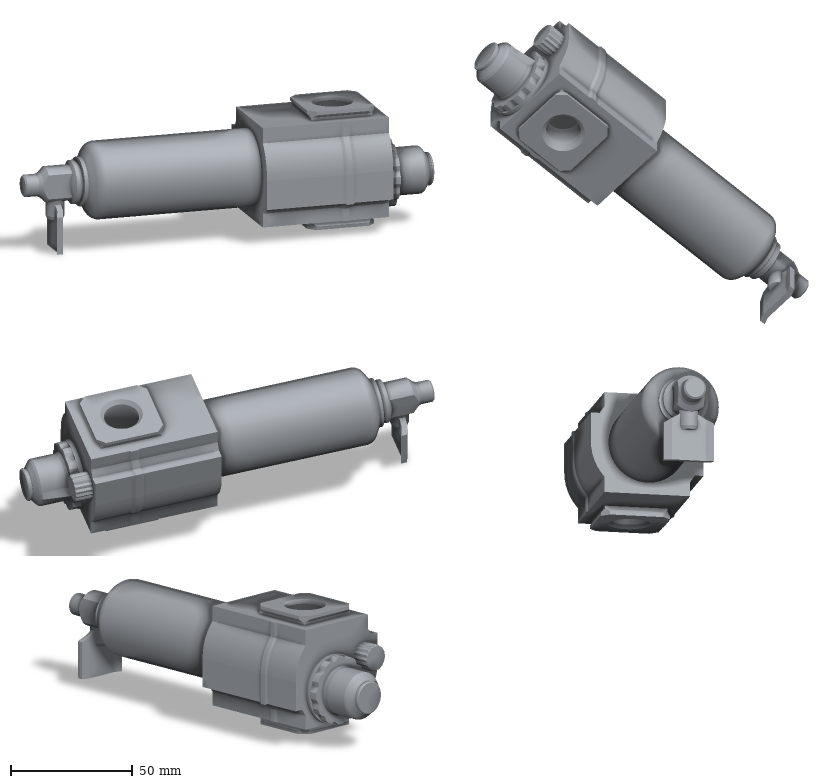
import cadquery as cq
import math


HOUSING_REAR_Y = 18.8
HOUSING_FRONT_Y = -35.8
HOUSING_HALF_HEIGHT = 21.2
SIDE_X = 18.0
CHEEK_X = 23.7
CHEEK_STEP_Z = 12.3
STEP_SLOPE_WIDTH = 2.0
STEP_SLOPE_HEIGHT = 3.0
CHEEK_ARC_RADIUS = 21.8

BAND_RISE = 0.5
BAND_FOOT_HALF_WIDTH = 2.4
BAND_TOP_HALF_WIDTH = 1.15

PORT_FACE_Z = 25.2
PAD_WIDTH = 29.0
PAD_THICKNESS = 2.75
PAD_CORNER_CUT = 3.25
PAD_UNDERCUT = 1.3
PORT_DIAMETER = 14.5
PORT_MOUTH_DIAMETER = 17.6
PORT_DEPTH = 15.0

BOWL_RADIUS = 16.3
BOWL_SHOULDER_Y = -102.3
BOWL_ARC_END_RADIUS = 13.7
BOWL_ARC_END_Y = -106.5
BOWL_RIM_RADIUS = 10.3
BOWL_RIM_Y = -108.6
BOWL_END_Y = -110.2

COLLAR_ROOT_RADIUS = 7.9
COLLAR_RADIUS = 9.15
COLLAR_START_Y = -111.8
COLLAR_END_Y = -113.3
COLLAR_TAPER_END_Y = -115.1
VALVE_RADIUS = 7.5
VALVE_FLATS_WIDTH = 11.0
VALVE_CHAMFER_Y = -124.4
VALVE_CHAMFER_END_Y = -126.5
VALVE_CHAMFER_END_RADIUS = 5.5
TIP_RADIUS = 4.65
TIP_START_Y = -128.1
TIP_END_Y = -133.95
TIP_CHAMFER = 0.7

OUTLET_Y = -119.95
OUTLET_RADIUS = 3.95
OUTLET_END_Z = -14.75
OUTLET_CHAMFER_RADIAL = 0.6
OUTLET_CHAMFER_HEIGHT = 1.5
WING_BOTTOM_Z = -27.63
WING_HALF_WIDTH = 10.3
WING_FLAT_HALF_WIDTH = 7.1
WING_THICKNESS = 2.5
WING_TIP_OFFSET = 1.2
WING_TIP_TOP_Z = -11.8
WING_ROOT_TOP_Z = -8.1

KNOB_X = 3.0
KNOB_Z = -6.2
KNOB_BASE_RADIUS = 14.6
KNOB_RING_RADIUS = 14.3
KNOB_RING_START_Y = 20.7
KNOB_RING_END_Y = 24.2
KNOB_FOOT_RADIUS = 10.5
KNOB_FOOT_END_Y = 25.5
KNOB_RADIUS = 10.0
KNOB_SHOULDER_Y = 36.4
KNOB_CONE_RADIUS = 9.4
KNOB_CONE_Y = 37.3
KNOB_NECK_RADIUS = 6.6
KNOB_NECK_START_Y = 39.3
KNOB_NECK_END_Y = 40.2
KNOB_CAP_RADIUS = 6.9
KNOB_END_Y = 41.15
KNOB_CAP_CHAMFER = 0.4

NOTCH_COUNT = 12
NOTCH_HALF_WIDTH = 2.7
NOTCH_FLOOR_HALF_WIDTH = 0.3
NOTCH_FLOOR_RADIUS = 13.3

POINTER_HALF_WIDTH = 2.9
POINTER_ROOT = 9.55
POINTER_RIDGE_LOW = 12.2
POINTER_RIDGE_HIGH = 10.7

SCREW_X = -15.4
SCREW_Z = 4.4
SCREW_RADIUS = 5.6
SCREW_END_Y = 26.2
SCREW_CHAMFER = 0.4
KNURL_COUNT = 16
KNURL_DEPTH = 0.5


def plane_at(y):
    """Plane across the part at a Y station, with local axes along +X and +Z."""
    return cq.Plane(origin=(0, y, 0), xDir=(1, 0, 0), normal=(0, -1, 0))


def revolve_profile(profile):
    """Turn a profile of (radius, Y) about the Y axis."""
    return profile.close().revolve(360, (0, 0, 0), (0, 1, 0))


def housing_outline(y, rise):
    """Outline of the housing across Y, with its sides moved outward by rise."""
    side = SIDE_X + rise
    cheek = CHEEK_X + rise
    step = CHEEK_STEP_Z + rise
    top = HOUSING_HALF_HEIGHT
    arc_radius = CHEEK_ARC_RADIUS + rise
    arc_center_x = CHEEK_X - CHEEK_ARC_RADIUS
    arc_end_angle = math.acos((side - arc_center_x) / arc_radius)
    arc_mid = (
        arc_center_x + arc_radius * math.cos(arc_end_angle / 2),
        arc_radius * math.sin(arc_end_angle / 2),
    )
    arc_end_z = arc_radius * math.sin(arc_end_angle)
    return (
        cq.Workplane(plane_at(y))
        .moveTo(-side, top)
        .lineTo(side, top)
        .lineTo(side, arc_end_z)
        .threePointArc(arc_mid, (cheek, 0))
        .lineTo(cheek, -step)
        .lineTo(side + STEP_SLOPE_WIDTH, -step)
        .lineTo(side, -step - STEP_SLOPE_HEIGHT)
        .lineTo(side, -top)
        .lineTo(-side, -top)
        .lineTo(-side, -arc_end_z)
        .threePointArc((-arc_mid[0], -arc_mid[1]), (-cheek, 0))
        .lineTo(-cheek, step)
        .lineTo(-side - STEP_SLOPE_WIDTH, step)
        .lineTo(-side, step + STEP_SLOPE_HEIGHT)
        .close()
    )


def make_band_bevel(y_foot, y_top):
    """Sloping flank of the band, from the housing side up to the band top."""
    foot = housing_outline(y_foot, 0).val()
    crest = housing_outline(y_top, BAND_RISE).val()
    return cq.Workplane(cq.Solid.makeLoft([foot, crest], True))


def make_port_pad():
    """Square pad with cut corners and a bevelled underside, on a square neck."""
    neck_width = PAD_WIDTH - 2 * PAD_UNDERCUT
    pad_bottom_z = PORT_FACE_Z - PAD_THICKNESS
    neck = (
        cq.Workplane("XY", origin=(0, 0, HOUSING_HALF_HEIGHT))
        .rect(neck_width, neck_width)
        .extrude(pad_bottom_z - HOUSING_HALF_HEIGHT)
    )
    cut_corners = (
        cq.Workplane("XY", origin=(0, 0, pad_bottom_z))
        .rect(PAD_WIDTH, PAD_WIDTH)
        .extrude(PAD_THICKNESS)
        .edges("|Z")
        .chamfer(PAD_CORNER_CUT)
    )
    pad = (
        cq.Workplane("XY", origin=(0, 0, pad_bottom_z))
        .rect(PAD_WIDTH, PAD_WIDTH)
        .extrude(PAD_THICKNESS)
        .faces("<Z")
        .edges()
        .chamfer(PAD_UNDERCUT)
        .intersect(cut_corners)
    )
    return neck.union(pad)


def make_port_cut():
    """Blind port with a countersunk mouth."""
    depth_z = PORT_FACE_Z - PORT_DEPTH
    mouth_depth = (PORT_MOUTH_DIAMETER - PORT_DIAMETER) / 2
    profile = [
        (0, PORT_FACE_Z),
        (PORT_MOUTH_DIAMETER / 2, PORT_FACE_Z),
        (PORT_DIAMETER / 2, PORT_FACE_Z - mouth_depth),
        (PORT_DIAMETER / 2, depth_z),
        (0, depth_z),
    ]
    return cq.Workplane("XZ").polyline(profile).close().revolve(360, (0, 0, 0), (0, 1, 0))


def make_housing():
    body = housing_outline(HOUSING_REAR_Y, 0).extrude(HOUSING_REAR_Y - HOUSING_FRONT_Y)
    band = housing_outline(BAND_TOP_HALF_WIDTH, BAND_RISE).extrude(2 * BAND_TOP_HALF_WIDTH)
    body = body.union(band)
    for end in (1, -1):
        body = body.union(make_band_bevel(end * BAND_FOOT_HALF_WIDTH, end * BAND_TOP_HALF_WIDTH))
    pad = make_port_pad()
    port = make_port_cut()
    for turn in (0, 180):
        body = body.union(pad.rotate((0, 0, 0), (0, 1, 0), turn))
    for turn in (0, 180):
        body = body.cut(port.rotate((0, 0, 0), (0, 1, 0), turn))
    return body


def make_bowl():
    """Cylindrical bowl with a rounded, tapering end and a narrow rim."""
    profile = (
        cq.Workplane("XY")
        .moveTo(0, HOUSING_FRONT_Y)
        .lineTo(BOWL_RADIUS, HOUSING_FRONT_Y)
        .lineTo(BOWL_RADIUS, BOWL_SHOULDER_Y)
        .tangentArcPoint((BOWL_ARC_END_RADIUS, BOWL_ARC_END_Y), relative=False)
        .lineTo(BOWL_RIM_RADIUS, BOWL_RIM_Y)
        .lineTo(BOWL_RIM_RADIUS, BOWL_END_Y)
        .lineTo(0, BOWL_END_Y)
    )
    return revolve_profile(profile)


def make_valve_stem():
    """Collar, flatted barrel and round tip of the drain valve."""
    half_flats = VALVE_FLATS_WIDTH / 2
    collar = revolve_profile(
        cq.Workplane("XY").polyline([
            (0, BOWL_END_Y),
            (COLLAR_ROOT_RADIUS, BOWL_END_Y),
            (COLLAR_RADIUS, COLLAR_START_Y),
            (COLLAR_RADIUS, COLLAR_END_Y),
            (half_flats, COLLAR_TAPER_END_Y),
            (0, COLLAR_TAPER_END_Y),
        ])
    )
    barrel = revolve_profile(
        cq.Workplane("XY").polyline([
            (0, COLLAR_END_Y),
            (VALVE_RADIUS, COLLAR_END_Y),
            (VALVE_RADIUS, VALVE_CHAMFER_Y),
            (VALVE_CHAMFER_END_RADIUS, VALVE_CHAMFER_END_Y),
            (0, VALVE_CHAMFER_END_Y),
        ])
    )
    flats = (
        cq.Workplane(plane_at(COLLAR_END_Y))
        .rect(VALVE_FLATS_WIDTH, 2 * VALVE_RADIUS)
        .extrude(COLLAR_END_Y - VALVE_CHAMFER_END_Y)
    )
    tip = revolve_profile(
        cq.Workplane("XY").polyline([
            (0, VALVE_CHAMFER_END_Y),
            (VALVE_CHAMFER_END_RADIUS, VALVE_CHAMFER_END_Y),
            (TIP_RADIUS, TIP_START_Y),
            (TIP_RADIUS, TIP_END_Y + TIP_CHAMFER),
            (TIP_RADIUS - TIP_CHAMFER, TIP_END_Y),
            (0, TIP_END_Y),
        ])
    )
    return collar.union(barrel.intersect(flats)).union(tip)


def make_outlet():
    """Short round outlet pointing down from the valve axis."""
    return (
        cq.Workplane("XY", origin=(0, OUTLET_Y, OUTLET_END_Z))
        .circle(OUTLET_RADIUS)
        .extrude(-OUTLET_END_Z)
        .faces("<Z")
        .chamfer(OUTLET_CHAMFER_HEIGHT, OUTLET_CHAMFER_RADIAL)
    )


def make_wing():
    """Flat wing with opposite bent tips and a sloping top on each side."""
    half_thickness = WING_THICKNESS / 2
    plan = [
        (-WING_HALF_WIDTH, WING_TIP_OFFSET + half_thickness),
        (-WING_FLAT_HALF_WIDTH, half_thickness),
        (WING_FLAT_HALF_WIDTH, half_thickness),
        (WING_HALF_WIDTH, -WING_TIP_OFFSET + half_thickness),
        (WING_HALF_WIDTH, -WING_TIP_OFFSET - half_thickness),
        (WING_FLAT_HALF_WIDTH, -half_thickness),
        (-WING_FLAT_HALF_WIDTH, -half_thickness),
        (-WING_HALF_WIDTH, WING_TIP_OFFSET - half_thickness),
    ]
    sheet = (
        cq.Workplane("XY", origin=(0, OUTLET_Y, WING_BOTTOM_Z))
        .polyline(plan)
        .close()
        .extrude(-WING_BOTTOM_Z)
    )
    face = [
        (-WING_HALF_WIDTH, WING_BOTTOM_Z),
        (WING_HALF_WIDTH, WING_BOTTOM_Z),
        (WING_HALF_WIDTH, WING_TIP_TOP_Z),
        (OUTLET_RADIUS, WING_ROOT_TOP_Z),
        (-OUTLET_RADIUS, WING_ROOT_TOP_Z),
        (-WING_HALF_WIDTH, WING_TIP_TOP_Z),
    ]
    reach = WING_TIP_OFFSET + WING_THICKNESS
    outline = cq.Workplane(plane_at(OUTLET_Y)).polyline(face).close().extrude(reach, both=True)
    return sheet.intersect(outline)


def make_drain_valve():
    return make_valve_stem().union(make_outlet()).union(make_wing())


def make_knob_notches():
    """Tapered grip notches cut into the ring of the adjusting knob."""
    notch = (
        cq.Workplane(plane_at(KNOB_RING_END_Y))
        .polyline([
            (-NOTCH_FLOOR_HALF_WIDTH, NOTCH_FLOOR_RADIUS),
            (NOTCH_FLOOR_HALF_WIDTH, NOTCH_FLOOR_RADIUS),
            (NOTCH_HALF_WIDTH, KNOB_RING_RADIUS),
            (-NOTCH_HALF_WIDTH, KNOB_RING_RADIUS),
        ])
        .close()
        .extrude(KNOB_RING_END_Y - KNOB_RING_START_Y)
    )
    pitch = 360 / NOTCH_COUNT
    return [notch.rotate((0, 0, 0), (0, 1, 0), (i + 0.5) * pitch) for i in range(NOTCH_COUNT)]


def make_pointer():
    """Ridge on the -X side of the knob, fading toward the knob end."""

    def section(y, ridge):
        corners = [
            (-ridge, 0),
            (-POINTER_ROOT, POINTER_HALF_WIDTH),
            (-POINTER_ROOT, -POINTER_HALF_WIDTH),
        ]
        return cq.Workplane(plane_at(y)).polyline(corners).close().val()

    low = section(KNOB_RING_END_Y, POINTER_RIDGE_LOW)
    high = section(KNOB_SHOULDER_Y, POINTER_RIDGE_HIGH)
    return cq.Workplane(cq.Solid.makeLoft([low, high], True))


def make_adjusting_knob():
    knob = revolve_profile(
        cq.Workplane("XY").polyline([
            (0, HOUSING_REAR_Y),
            (KNOB_BASE_RADIUS, HOUSING_REAR_Y),
            (KNOB_BASE_RADIUS, KNOB_RING_START_Y),
            (KNOB_RING_RADIUS, KNOB_RING_START_Y),
            (KNOB_RING_RADIUS, KNOB_RING_END_Y),
            (KNOB_FOOT_RADIUS, KNOB_RING_END_Y),
            (KNOB_RADIUS, KNOB_FOOT_END_Y),
            (KNOB_RADIUS, KNOB_SHOULDER_Y),
            (KNOB_CONE_RADIUS, KNOB_CONE_Y),
            (KNOB_CAP_RADIUS, KNOB_NECK_START_Y),
            (KNOB_NECK_RADIUS, KNOB_NECK_START_Y),
            (KNOB_NECK_RADIUS, KNOB_NECK_END_Y),
            (KNOB_CAP_RADIUS, KNOB_NECK_END_Y),
            (KNOB_CAP_RADIUS, KNOB_END_Y - KNOB_CAP_CHAMFER),
            (KNOB_CAP_RADIUS - KNOB_CAP_CHAMFER, KNOB_END_Y),
            (0, KNOB_END_Y),
        ])
    )
    for notch in make_knob_notches():
        knob = knob.cut(notch)
    return knob.union(make_pointer()).translate((KNOB_X, 0, KNOB_Z))


def make_knurled_screw():
    """Screw head with V teeth around its side and a chamfered end."""
    length = SCREW_END_Y - HOUSING_REAR_Y
    blank = (
        cq.Workplane(plane_at(SCREW_END_Y))
        .circle(SCREW_RADIUS)
        .extrude(length)
        .faces(">Y")
        .chamfer(SCREW_CHAMFER)
    )
    half_pitch = math.pi / KNURL_COUNT
    tooth_points = []
    for i in range(2 * KNURL_COUNT):
        radius = SCREW_RADIUS - KNURL_DEPTH * (i % 2)
        tooth_points.append((radius * math.cos(i * half_pitch), radius * math.sin(i * half_pitch)))
    teeth = cq.Workplane(plane_at(SCREW_END_Y)).polyline(tooth_points).close().extrude(length)
    return teeth.intersect(blank).translate((SCREW_X, 0, SCREW_Z))


housing = make_housing()
bowl = make_bowl()
drain_valve = make_drain_valve()
adjusting_knob = make_adjusting_knob()
knurled_screw = make_knurled_screw()

result = cq.Compound.makeCompound([
    housing.val(),
    bowl.val(),
    drain_valve.val(),
    adjusting_knob.val(),
    knurled_screw.val(),
])